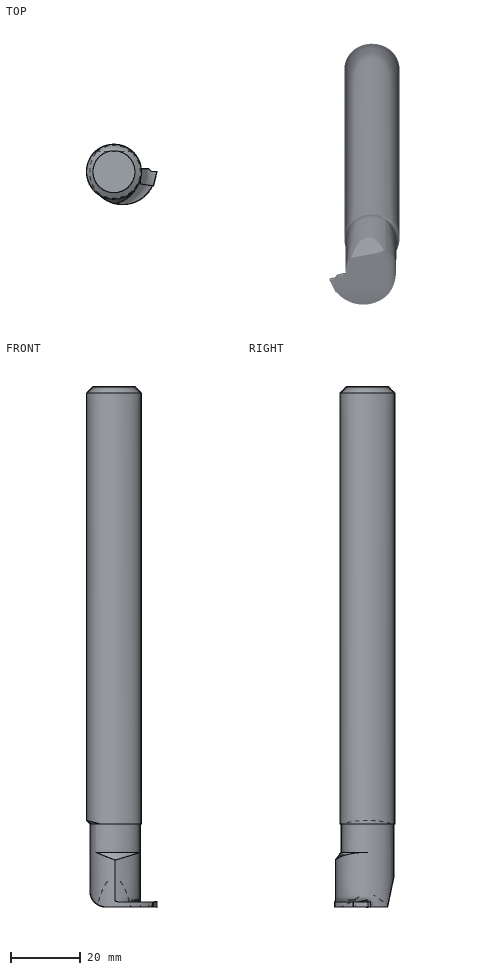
import cadquery as cq

shank_diameter = 15.88
shank_radius = shank_diameter / 2
bar_length = 150.0
top_chamfer = 1.9

neck_radius = 7.6
neck_length = 24.0

head_radius = 9.49
head_left = -6.97
head_center_x = head_left + head_radius
wall_center_x = neck_radius - head_radius
head_slope_top = 15.8
head_slope_width = 2.0
head_slope_drop = 2.7
corner_radius = 4.7

blade_thickness = 1.5
pocket_fillet = 0.6

relief_height = 8.5
relief_bottom_y = 5.8

insert_inner_x = neck_radius
insert_inner_front_y = -3.5
insert_front_x = 11.4
insert_front_y = -4.1
insert_tip_x = 12.44
insert_tip_y = 0.1
insert_shoulder_x = 10.0
insert_back_y = 0.9
insert_bottom_drop = 0.03

rake_corner_x = insert_shoulder_x + insert_back_y - insert_tip_y
rake_end_x = 12.1
rake_end_y = -1.2
rake_rise = 0.1

trim = 40.0


def cylinder(radius, bottom, top, center_x=0.0):
    return cq.Workplane("XY", origin=(center_x, 0, bottom)).circle(radius).extrude(top - bottom)


def cone(bottom_radius, top_radius, bottom, height, center_x=0.0):
    base = cq.Vector(center_x, 0, bottom)
    return cq.Workplane(obj=cq.Solid.makeCone(bottom_radius, top_radius, height, base))


def make_head():
    """The part of the head that stands out of the neck towards -Y, with the blade at its foot."""
    wall = cylinder(head_radius, blade_thickness, head_slope_top, wall_center_x)
    floor = cq.Workplane("XY").rect(2 * trim, 2 * trim).extrude(blade_thickness)
    foot_of_wall = cq.selectors.NearestToPointSelector((wall_center_x, 0, blade_thickness))
    head = wall.union(floor).edges(foot_of_wall).fillet(pocket_fillet)

    slope_bottom = head_slope_top - head_slope_drop
    slope = cone(neck_radius + head_slope_width, neck_radius, slope_bottom, head_slope_drop)
    below_slope = cylinder(trim, 0, slope_bottom).union(slope)

    front_half = cq.Workplane("XY").box(2 * trim, trim, trim, centered=(True, False, False))
    front_half = front_half.translate((0, -trim, 0))
    return head.intersect(below_slope).intersect(front_half)


def make_left_envelope():
    """The head arc on the -X side, running out into the shank through a 45 degree cone."""
    runout_height = shank_radius
    runout_top = neck_length + runout_height
    arc = cylinder(head_radius, 0, neck_length, head_center_x)
    runout = cone(head_radius, head_radius + runout_height, neck_length, runout_height, head_center_x)
    above = cylinder(head_radius + runout_height, runout_top, bar_length, head_center_x)
    return arc.union(runout).union(above)


def make_corner_cut():
    """Rounds the lower corner on the -X side, about an axis along Y."""
    return (
        cq.Workplane("XZ")
        .moveTo(head_left, 0)
        .lineTo(head_left + corner_radius, 0)
        .radiusArc((head_left, corner_radius), corner_radius)
        .close()
        .extrude(trim, both=True)
    )


def make_relief_cut():
    return (
        cq.Workplane("YZ")
        .moveTo(relief_bottom_y, 0)
        .lineTo(neck_radius, relief_height)
        .lineTo(trim, relief_height)
        .lineTo(trim, 0)
        .close()
        .extrude(trim, both=True)
    )


def make_seat_cut():
    """Opens the end of the blade for the insert and removes the pocket fillet behind it."""
    return (
        cq.Workplane("XY")
        .moveTo(insert_inner_x, trim)
        .lineTo(insert_inner_x, insert_inner_front_y)
        .lineTo(insert_front_x, insert_front_y)
        .lineTo(trim, insert_front_y)
        .lineTo(trim, trim)
        .close()
        .extrude(blade_thickness + pocket_fillet)
    )


def make_bar():
    shank = cylinder(shank_radius, neck_length, bar_length).faces(">Z").chamfer(top_chamfer)
    neck = cylinder(neck_radius, 0, neck_length)
    bar = shank.union(neck).union(make_head()).intersect(make_left_envelope())
    return bar.cut(make_corner_cut()).cut(make_relief_cut()).cut(make_seat_cut())


def make_insert():
    side = (
        cq.Workplane("XZ")
        .moveTo(insert_inner_x, 0)
        .lineTo(insert_tip_x, -insert_bottom_drop)
        .lineTo(insert_tip_x, blade_thickness)
        .lineTo(insert_inner_x, blade_thickness)
        .close()
        .extrude(trim, both=True)
    )
    outline = (
        cq.Workplane("XY", origin=(0, 0, -blade_thickness))
        .moveTo(insert_inner_x, insert_inner_front_y)
        .lineTo(insert_front_x, insert_front_y)
        .lineTo(insert_tip_x, insert_tip_y)
        .lineTo(rake_corner_x, insert_tip_y)
        .lineTo(insert_shoulder_x, insert_back_y)
        .lineTo(insert_inner_x, insert_back_y)
        .close()
        .extrude(3 * blade_thickness)
    )
    return side.union(make_rake_wedge()).intersect(outline)


def make_rake_wedge():
    """A wedge on the top face, from an oblique line out past the tip, where it is rake_rise high."""
    start = cq.Vector(rake_corner_x, insert_tip_y, blade_thickness)
    end = cq.Vector(rake_end_x, rake_end_y, blade_thickness)
    tip = cq.Vector(insert_tip_x, insert_tip_y, blade_thickness)
    along = (start - end).normalized()
    across = cq.Vector(along.y, -along.x, 0)
    tip_distance = (tip - start).dot(across)
    return (
        cq.Workplane(cq.Plane(origin=start, xDir=across, normal=along.multiply(-1)))
        .lineTo(tip_distance, 0)
        .lineTo(tip_distance, rake_rise)
        .close()
        .extrude(trim, both=True)
    )


result = cq.Compound.makeCompound([make_bar().val(), make_insert().val()])